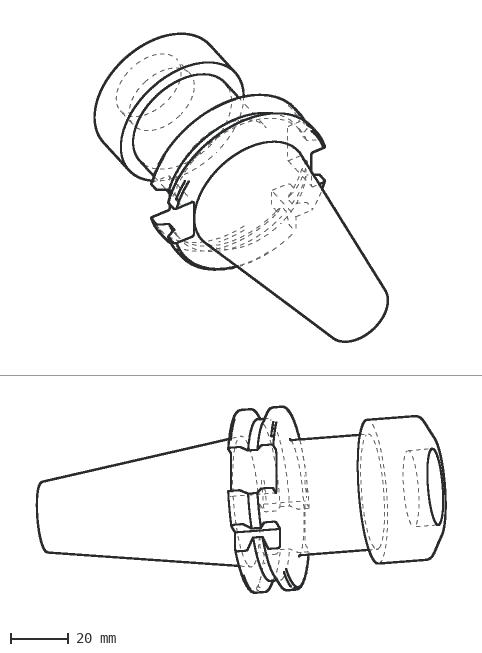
import cadquery as cq
import math

total_length = 138.4
nut_length = 22.1
body_end = 47.6
flange_start = 51.0
flange_width = 15.9
flange_end = flange_start + flange_width

nut_radius = 50.0 / 2
nut_face_radius = 17.7
nut_cone_angle = 60.0
nut_face_fillet = 0.8
nut_shoulder_fillet = 2.0
bore_diameter = 26.5
bore_depth = 8.6

body_radius = 40.0 / 2
neck_radius = 39.9 / 2
neck_fillet = 2.1

flange_radius = 63.5 / 2
flange_edge_fillet = 0.8
groove_bottom_radius = 28.1
groove_bottom_width = 3.3
groove_center = 58.8
groove_wall_angle = 30.0
groove_lip_fillet = 0.5

slot_width = 16.0
slot_floor_front = 22.8
slot_floor_back = 24.9
slot_corner_fillet = 0.8
notch_y = 18.5
notch_z = -18.7
cut_clearance = 1.4

gauge_radius = 44.5 / 2
gauge_offset = 3.2
taper_slope = 7 / 24 / 2
tip_fillet = 1.0


def revolve_profile(points):
    """Revolve a closed outline of (x, radius) points about the X axis."""
    outline = cq.Workplane("XY").polyline(points).close()
    return outline.revolve(360, (0, 0, 0), (1, 0, 0))


def circle_edges(solid, x, radius):
    """Select the circular edge at a given station and radius."""
    tolerance = 0.03
    low = (x - tolerance, -radius - tolerance, -radius - tolerance)
    high = (x + tolerance, radius + tolerance, radius + tolerance)
    inner = radius - tolerance
    return solid.edges(cq.selectors.BoxSelector(low, high, boundingbox=True)).filter(
        lambda edge: edge.geomType() == "CIRCLE" and edge.radius() > inner
    )


def make_nut():
    cone_length = (nut_radius - nut_face_radius) / math.tan(math.radians(nut_cone_angle))
    nut = revolve_profile([
        (0, 0),
        (0, nut_face_radius),
        (cone_length, nut_radius),
        (nut_length, nut_radius),
        (nut_length, 0),
    ])
    nut = circle_edges(nut, cone_length, nut_radius).fillet(nut_shoulder_fillet)
    nut = circle_edges(nut, 0, nut_face_radius).fillet(nut_face_fillet)
    return nut.faces("<X").workplane().circle(bore_diameter / 2).cutBlind(-bore_depth)


def make_body():
    fillet_start = flange_start - neck_fillet
    arc_reach = neck_fillet * math.sqrt(0.5)
    arc_middle = (fillet_start + arc_reach, neck_radius + neck_fillet - arc_reach)
    return (
        cq.Workplane("XY")
        .moveTo(nut_length, 0)
        .lineTo(nut_length, body_radius)
        .lineTo(body_end, body_radius)
        .lineTo(fillet_start, neck_radius)
        .threePointArc(arc_middle, (flange_start, neck_radius + neck_fillet))
        .lineTo(flange_start, 0)
        .close()
        .revolve(360, (0, 0, 0), (1, 0, 0))
    )


def make_flange():
    groove_depth = flange_radius - groove_bottom_radius
    half_bottom = groove_bottom_width / 2
    half_top = half_bottom + groove_depth * math.tan(math.radians(groove_wall_angle))
    flange = revolve_profile([
        (flange_start, 0),
        (flange_start, flange_radius),
        (groove_center - half_top, flange_radius),
        (groove_center - half_bottom, groove_bottom_radius),
        (groove_center + half_bottom, groove_bottom_radius),
        (groove_center + half_top, flange_radius),
        (flange_end, flange_radius),
        (flange_end, 0),
    ])
    for x in (flange_start, flange_end):
        flange = circle_edges(flange, x, flange_radius).fillet(flange_edge_fillet)
    for x in (groove_center - half_top, groove_center + half_top):
        flange = circle_edges(flange, x, flange_radius).fillet(groove_lip_fillet)
    return flange


def flange_cutter(y_start, y_end, z_start, z_end):
    """Box across the full flange width between the given Y and Z limits."""
    size = (flange_width, y_end - y_start, z_end - z_start)
    return cq.Workplane("XY").box(*size, centered=False).translate((flange_start, y_start, z_start))


def cut_flange(flange):
    half_slot = slot_width / 2
    reach = flange_radius + cut_clearance
    front_slot = flange_cutter(-reach, -slot_floor_front, -half_slot, half_slot)
    back_slot = flange_cutter(slot_floor_back, reach, -half_slot, half_slot)
    notch = flange_cutter(notch_y, reach, -reach, notch_z)
    front_slot = front_slot.faces(">Y").edges("|X").fillet(slot_corner_fillet)
    back_slot = back_slot.faces("<Y").edges("|X").fillet(slot_corner_fillet)
    return flange.cut(front_slot).cut(back_slot).cut(notch)


def make_taper():
    gauge_x = flange_end + gauge_offset
    root_radius = gauge_radius + gauge_offset * taper_slope
    tip_radius = gauge_radius - (total_length - gauge_x) * taper_slope
    taper = revolve_profile([
        (flange_end, 0),
        (flange_end, root_radius),
        (total_length, tip_radius),
        (total_length, 0),
    ])
    return taper.faces(">X").edges().fillet(tip_fillet)


result = make_nut().union(make_body()).union(cut_flange(make_flange())).union(make_taper())